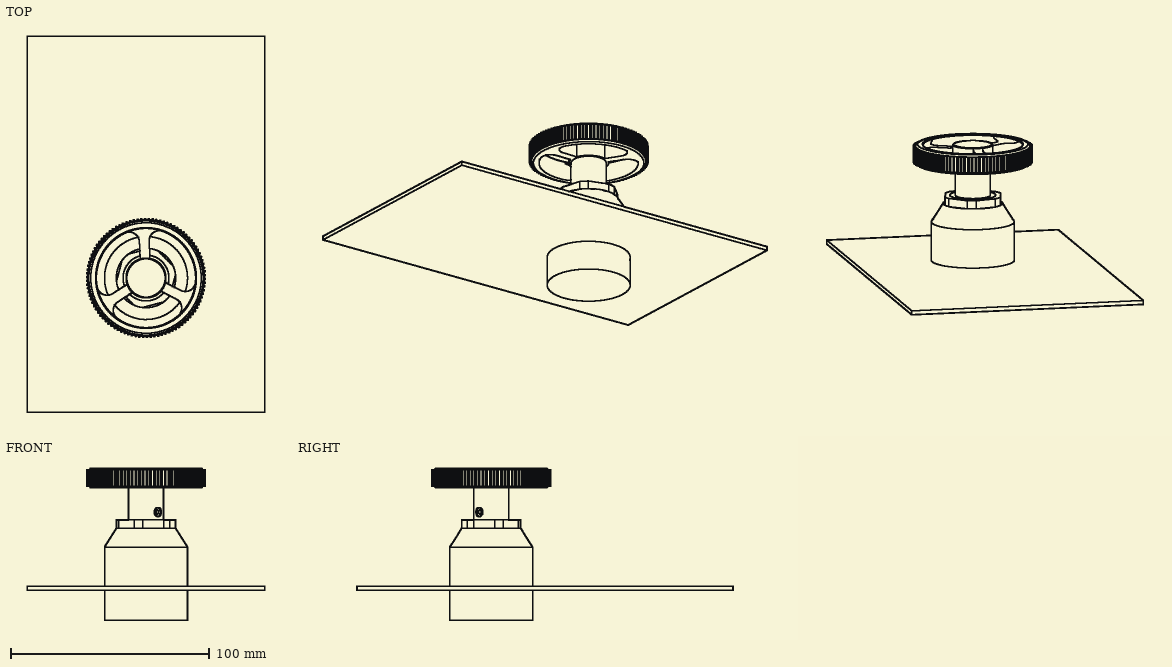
import cadquery as cq
import math

HEX_SIDES = 6
CORNERS_PER_FLATS = 1 / math.cos(math.pi / HEX_SIDES)

PLATE_WIDTH = 120.1
PLATE_LENGTH = 190.0
PLATE_THICKNESS = 2.0
PLATE_BOTTOM = 15.2
PLATE_CENTRE_Y = 27.2

HOUSING_RADIUS = 42.0 / 2
HOUSING_HEIGHT = 37.0
CONE_TOP = 46.5
CONE_TOP_RADIUS = 15.0
NECK_RADIUS = 11.5

NUT_HEIGHT = 4.2
NUT_ACROSS_FLATS = 28.0
NUT_CORNER_RADIUS = CONE_TOP_RADIUS
NUT_TURN = 15.0
NUT_TOP = CONE_TOP + NUT_HEIGHT

WHEEL_TOP = 77.0
WHEEL_HEIGHT = 10.0
WHEEL_BOTTOM = WHEEL_TOP - WHEEL_HEIGHT
RIM_RADIUS = 28.9
RIM_INNER_RADIUS = 25.0
RIM_CHAMFER = 1.0
HUB_RADIUS = 10.0
STEM_RADIUS = 9.0
EDGE_CHAMFER = 0.4
SPOKE_COUNT = 3
SPOKE_WIDTH = 5.0
SPOKE_DROP = 2.0
SPOKE_TOP = WHEEL_TOP - SPOKE_DROP
SPOKE_AZIMUTH = 92.7
SPOKE_END_FILLET = 1.5
WINDOW_CORNER_RADIUS = 5.1
TOOTH_COUNT = 98
TOOTH_TIP_RADIUS = 30.0
TOOTH_ROOT_RADIUS = 29.5
TOOTH_ROOT_WIDTH = 0.8
TOOTH_TIP_WIDTH = 0.4

SCREW_RADIUS = 2.3
SCREW_HEIGHT = 54.7
SCREW_AZIMUTH = -45.0
SCREW_INNER_END = 2.9
SCREW_OUTER_END = 8.2
SOCKET_ACROSS_FLATS = 1.9
SOCKET_DEPTH = 1.9


def cylinder(radius, bottom, top):
    return cq.Workplane("XY").workplane(offset=bottom).circle(radius).extrude(top - bottom)


def polar_point(radius, angle):
    return radius * math.cos(angle), radius * math.sin(angle)


def make_plate():
    plate = (
        cq.Workplane("XY")
        .box(PLATE_WIDTH, PLATE_LENGTH, PLATE_THICKNESS, centered=(True, True, False))
        .translate((0, PLATE_CENTRE_Y, PLATE_BOTTOM))
    )
    return plate.cut(cylinder(HOUSING_RADIUS, PLATE_BOTTOM, PLATE_BOTTOM + PLATE_THICKNESS))


def make_housing():
    return (
        cq.Workplane("XZ")
        .moveTo(0, 0)
        .lineTo(HOUSING_RADIUS, 0)
        .lineTo(HOUSING_RADIUS, HOUSING_HEIGHT)
        .lineTo(CONE_TOP_RADIUS, CONE_TOP)
        .lineTo(NECK_RADIUS, CONE_TOP)
        .lineTo(NECK_RADIUS, NUT_TOP)
        .lineTo(0, NUT_TOP)
        .close()
        .revolve(360, (0, 0, 0), (0, 1, 0))
    )


def make_nut():
    across_corners = NUT_ACROSS_FLATS * CORNERS_PER_FLATS
    hexagon = (
        cq.Workplane("XY")
        .workplane(offset=CONE_TOP)
        .polygon(HEX_SIDES, across_corners)
        .extrude(NUT_HEIGHT)
        .rotate((0, 0, 0), (0, 0, 1), NUT_TURN)
    )
    turned = hexagon.intersect(cylinder(NUT_CORNER_RADIUS, CONE_TOP, NUT_TOP))
    return turned.cut(cylinder(NECK_RADIUS, CONE_TOP, NUT_TOP))


def wheel_blank():
    """Turned wheel without windows: stem, hub, sunken web and chamfered rim."""
    fillet = SPOKE_END_FILLET
    bend = fillet * (1 - math.cos(math.radians(45)))
    return (
        cq.Workplane("XZ")
        .moveTo(0, NUT_TOP)
        .lineTo(STEM_RADIUS, NUT_TOP)
        .lineTo(STEM_RADIUS, WHEEL_BOTTOM)
        .lineTo(RIM_RADIUS - RIM_CHAMFER, WHEEL_BOTTOM)
        .lineTo(RIM_RADIUS, WHEEL_BOTTOM + RIM_CHAMFER)
        .lineTo(RIM_RADIUS, WHEEL_TOP - RIM_CHAMFER)
        .lineTo(RIM_RADIUS - RIM_CHAMFER, WHEEL_TOP)
        .lineTo(RIM_INNER_RADIUS + EDGE_CHAMFER, WHEEL_TOP)
        .lineTo(RIM_INNER_RADIUS, WHEEL_TOP - EDGE_CHAMFER)
        .lineTo(RIM_INNER_RADIUS, SPOKE_TOP + fillet)
        .threePointArc(
            (RIM_INNER_RADIUS - bend, SPOKE_TOP + bend),
            (RIM_INNER_RADIUS - fillet, SPOKE_TOP),
        )
        .lineTo(HUB_RADIUS + fillet, SPOKE_TOP)
        .threePointArc(
            (HUB_RADIUS + bend, SPOKE_TOP + bend),
            (HUB_RADIUS, SPOKE_TOP + fillet),
        )
        .lineTo(HUB_RADIUS, WHEEL_TOP - EDGE_CHAMFER)
        .lineTo(HUB_RADIUS - EDGE_CHAMFER, WHEEL_TOP)
        .lineTo(0, WHEEL_TOP)
        .close()
        .revolve(360, (0, 0, 0), (0, 1, 0))
    )


def wheel_windows():
    """The openings between the spokes, rounded where the spokes meet the rim."""
    ring = cylinder(RIM_INNER_RADIUS, WHEEL_BOTTOM, WHEEL_TOP).cut(
        cylinder(HUB_RADIUS, WHEEL_BOTTOM, WHEEL_TOP)
    )
    spoke = (
        cq.Workplane("XY")
        .box(RIM_RADIUS, SPOKE_WIDTH, WHEEL_HEIGHT, centered=(False, True, False))
        .translate((0, 0, WHEEL_BOTTOM))
    )
    for index in range(SPOKE_COUNT):
        azimuth = SPOKE_AZIMUTH + index * 360 / SPOKE_COUNT
        ring = ring.cut(spoke.rotate((0, 0, 0), (0, 0, 1), azimuth))
    middle_radius = (HUB_RADIUS + RIM_INNER_RADIUS) / 2
    outer_corners = [
        edge
        for edge in ring.edges("|Z").vals()
        if math.hypot(edge.Center().x, edge.Center().y) > middle_radius
    ]
    return ring.newObject(outer_corners).fillet(WINDOW_CORNER_RADIUS)


def grip_band():
    """Band around the rim with straight, narrow grip teeth between wider root flats."""
    pitch = 2 * math.pi / TOOTH_COUNT
    half_root = math.asin(TOOTH_ROOT_WIDTH / 2 / TOOTH_ROOT_RADIUS)
    half_tip = math.asin(TOOTH_TIP_WIDTH / 2 / TOOTH_TIP_RADIUS)
    outline = []
    for index in range(TOOTH_COUNT):
        middle = math.radians(SCREW_AZIMUTH) + index * pitch
        outline.append(polar_point(TOOTH_ROOT_RADIUS, middle - half_root))
        outline.append(polar_point(TOOTH_TIP_RADIUS, middle - half_tip))
        outline.append(polar_point(TOOTH_TIP_RADIUS, middle + half_tip))
        outline.append(polar_point(TOOTH_ROOT_RADIUS, middle + half_root))
    band_bottom = WHEEL_BOTTOM + RIM_CHAMFER
    band_top = WHEEL_TOP - RIM_CHAMFER
    band = (
        cq.Workplane("XY")
        .workplane(offset=band_bottom)
        .polyline(outline)
        .close()
        .extrude(band_top - band_bottom)
    )
    return band.cut(cylinder(RIM_INNER_RADIUS + RIM_CHAMFER, band_bottom, band_top))


def screw_plane():
    """Plane across the set screw, at the wheel axis and facing outwards."""
    azimuth = math.radians(SCREW_AZIMUTH)
    outwards = (math.cos(azimuth), math.sin(azimuth), 0)
    return cq.Plane(origin=(0, 0, SCREW_HEIGHT), xDir=(0, 0, 1), normal=outwards)


def make_handwheel():
    toothed = wheel_blank().cut(wheel_windows()).union(grip_band())
    screw_hole = (
        cq.Workplane(screw_plane())
        .workplane(offset=SCREW_INNER_END)
        .circle(SCREW_RADIUS)
        .extrude(STEM_RADIUS)
    )
    return toothed.cut(screw_hole)


def make_set_screw():
    screw = (
        cq.Workplane(screw_plane())
        .workplane(offset=SCREW_INNER_END)
        .circle(SCREW_RADIUS)
        .extrude(SCREW_OUTER_END - SCREW_INNER_END)
    )
    socket = (
        cq.Workplane(screw_plane())
        .workplane(offset=SCREW_OUTER_END - SOCKET_DEPTH)
        .polygon(HEX_SIDES, SOCKET_ACROSS_FLATS * CORNERS_PER_FLATS)
        .extrude(SOCKET_DEPTH)
    )
    return screw.cut(socket)


plate = make_plate()
housing = make_housing()
nut = make_nut()
handwheel = make_handwheel()
set_screw = make_set_screw()

result = cq.Compound.makeCompound([
    plate.val(),
    housing.val(),
    nut.val(),
    handwheel.val(),
    set_screw.val(),
])